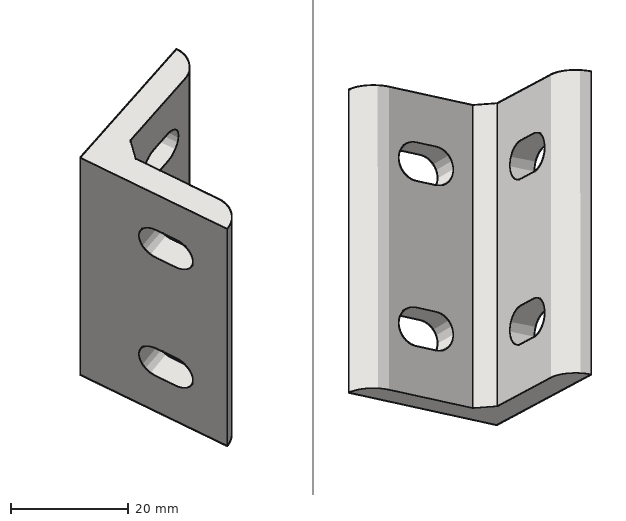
import cadquery as cq
import math

height = 55.0
leg_length = 30.0
thickness = 5.0
corner_chamfer = 3.0
slot_length = 11.0
slot_width = 7.0
slot_offset = 17.5
slot_spacing = 30.0

slot_heights = [height / 2 - slot_spacing / 2, height / 2 + slot_spacing / 2]


def make_angle():
    """L-shaped bar with its outer corner on the Z axis."""
    tip_start = leg_length - thickness
    inner_start = thickness + corner_chamfer
    diagonal = thickness * math.sqrt(0.5)
    return (
        cq.Workplane("XY")
        .lineTo(leg_length, 0)
        .threePointArc((tip_start + diagonal, diagonal), (tip_start, thickness))
        .lineTo(inner_start, thickness)
        .lineTo(thickness, inner_start)
        .lineTo(thickness, tip_start)
        .threePointArc((diagonal, tip_start + diagonal), (0, leg_length))
        .close()
        .extrude(height)
    )


def make_slots(plane):
    """Horizontal slot cutters passing through the leg that lies on the plane."""
    centres = [(slot_offset, z) for z in slot_heights]
    return (
        cq.Workplane(plane)
        .pushPoints(centres)
        .slot2D(slot_length, slot_width)
        .extrude(thickness, both=True)
    )


result = make_angle()
for leg_plane in ("XZ", "YZ"):
    result = result.cut(make_slots(leg_plane))